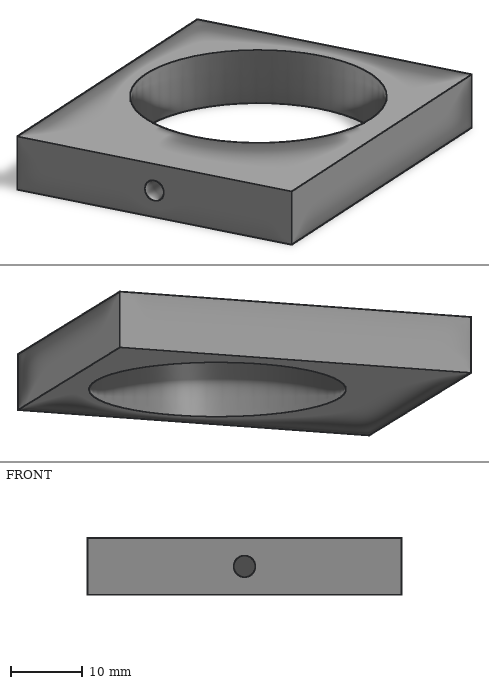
import cadquery as cq

width = 44.0
length = 52.0
thickness = 8.0

bore_diameter = 36.0
side_wall = (width - bore_diameter) / 2
bore_center_y = length / 2 - side_wall - bore_diameter / 2

edge_hole_diameter = 3.0
edge_hole_depth = 8.0

plate = cq.Workplane("XY").box(width, length, thickness)

bore = (
    cq.Workplane("XY", origin=(0, bore_center_y, -thickness / 2))
    .circle(bore_diameter / 2)
    .extrude(thickness)
)

edge_hole = (
    cq.Workplane("XZ", origin=(0, -length / 2, 0))
    .circle(edge_hole_diameter / 2)
    .extrude(-edge_hole_depth)
)

result = plate.cut(bore).cut(edge_hole)